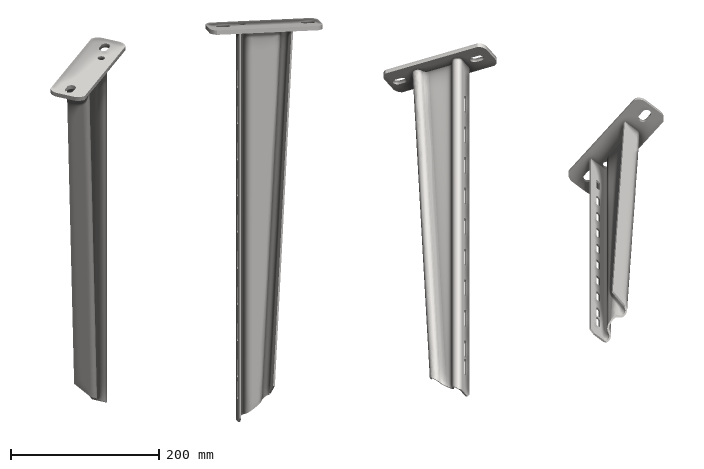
import cadquery as cq
import math

plate_width = 50.0
plate_length = 155.0
plate_thickness = 6.0
corner_run = 12.5
corner_drop = 7.5
bolt_slot_spacing = 117.0
bolt_slot_center_y = -2.0
bolt_slot_length = 19.5
bolt_slot_width = 12.0
small_hole_diameter = 10.0
small_hole_x = 7.0
small_hole_y = 29.0

overall_height = 546.0
sheet = 2.45
flange_tip_x = -15.5
post_outer_x = 14.0
rib_face_x = 0.5
rear_y = 37.0
front_top_y = -37.0
front_bottom_y = -9.5
bend_outer_radius = 7.0
bend_angle = math.radians(65)
slant_length = 3.5

slot_length = 27.0
slot_width = 6.0
slot_x = -3.0
evenly_spaced_slots = 9
first_slot_z = -72.5
ninth_slot_z = -472.5
extra_slot_z = -502.5

trim_rise = 34.5
trim_run = 46.5
rear_corner_chamfer = 6.5
front_tip_rise = 15.0

bend_inner_radius = bend_outer_radius - sheet
rib_depth = post_outer_x - sheet - rib_face_x
slant_dx = slant_length * math.sin(bend_angle)
slant_dy = slant_length * math.cos(bend_angle)
radius_sum = (rib_depth - slant_dx) / (1 - math.cos(bend_angle))
rib_outer_radius = radius_sum - bend_inner_radius
rib_inner_radius = rib_outer_radius - sheet
rib_start = bend_outer_radius + radius_sum * math.sin(bend_angle) + slant_dy
bend_x = post_outer_x - bend_outer_radius
rib_bend_x = rib_face_x + rib_outer_radius

post_top_z = -plate_thickness
post_height = overall_height - plate_thickness
front_shift = front_bottom_y - front_top_y


def arc_point(center, radius, angle, side):
    """Point on a bend; side is +1 for the rear edge and -1 for the mirrored front edge."""
    return center[0] + radius * math.cos(angle), center[1] + side * radius * math.sin(angle)


def make_channel_edge(flange_y, side, shift):
    """Flange, rounded edge and bend into the rib, running down the post and moving by shift in Y."""
    bend_center = (bend_x, flange_y - side * bend_outer_radius)
    rib_center = (rib_bend_x, flange_y - side * rib_start)
    flange_inner_y = flange_y - side * sheet
    bend_mid = (math.pi / 2 - bend_angle) / 2
    rib_mid = math.pi - bend_angle / 2
    bend_end = -bend_angle
    rib_end = math.pi - bend_angle
    profile = (
        cq.Workplane("XY", origin=(0, 0, post_top_z))
        .moveTo(flange_tip_x, flange_y)
        .lineTo(bend_x, flange_y)
        .threePointArc(
            arc_point(bend_center, bend_outer_radius, bend_mid, side),
            arc_point(bend_center, bend_outer_radius, bend_end, side),
        )
        .lineTo(*arc_point(rib_center, rib_inner_radius, rib_end, side))
        .threePointArc(
            arc_point(rib_center, rib_inner_radius, rib_mid, side),
            arc_point(rib_center, rib_inner_radius, math.pi, side),
        )
        .lineTo(*arc_point(rib_center, rib_outer_radius, math.pi, side))
        .threePointArc(
            arc_point(rib_center, rib_outer_radius, rib_mid, side),
            arc_point(rib_center, rib_outer_radius, rib_end, side),
        )
        .lineTo(*arc_point(bend_center, bend_inner_radius, bend_end, side))
        .threePointArc(
            arc_point(bend_center, bend_inner_radius, bend_mid, side),
            (bend_x, flange_inner_y),
        )
        .lineTo(flange_tip_x, flange_inner_y)
        .close()
    )
    direction = cq.Vector(0, shift, -post_height)
    return cq.Workplane(cq.Solid.extrudeLinear(profile.val(), [], direction))


def make_rib():
    """Flat strip between the two channel edges, narrowing downwards."""
    rear_rib_y = rear_y - rib_start
    front_rib_y = front_top_y + rib_start
    return (
        cq.Workplane("YZ", origin=(rib_face_x, 0, 0))
        .moveTo(rear_rib_y, post_top_z)
        .lineTo(front_rib_y, post_top_z)
        .lineTo(front_rib_y + front_shift, -overall_height)
        .lineTo(rear_rib_y, -overall_height)
        .close()
        .extrude(sheet)
    )


def make_plate():
    half_width = plate_width / 2
    half_length = plate_length / 2
    plate = cq.Workplane("XY").rect(plate_width, plate_length).extrude(-plate_thickness)
    corner_radius = (corner_run**2 + corner_drop**2) / (2 * corner_drop)
    flat_end = half_width - corner_run
    half_sweep = math.asin(corner_run / corner_radius) / 2
    for sx in (-1, 1):
        for sy in (-1, 1):
            arc_mid = (
                sx * (flat_end + corner_radius * math.sin(half_sweep)),
                sy * (half_length - corner_radius * (1 - math.cos(half_sweep))),
            )
            corner = (
                cq.Workplane("XY")
                .moveTo(sx * flat_end, sy * half_length)
                .threePointArc(arc_mid, (sx * half_width, sy * (half_length - corner_drop)))
                .lineTo(sx * half_width, sy * half_length)
                .close()
                .extrude(-plate_thickness)
            )
            plate = plate.cut(corner)
    bolt_slots = (
        cq.Workplane("XY")
        .center(0, bolt_slot_center_y)
        .pushPoints([(0, -bolt_slot_spacing / 2), (0, bolt_slot_spacing / 2)])
        .slot2D(bolt_slot_length, bolt_slot_width, 90)
        .extrude(-plate_thickness)
    )
    small_hole = (
        cq.Workplane("XY")
        .center(small_hole_x, small_hole_y)
        .circle(small_hole_diameter / 2)
        .extrude(-plate_thickness)
    )
    return plate.cut(bolt_slots).cut(small_hole)


def make_hanging_slots():
    pitch = (ninth_slot_z - first_slot_z) / (evenly_spaced_slots - 1)
    heights = [first_slot_z + i * pitch for i in range(evenly_spaced_slots)]
    heights.append(extra_slot_z)
    return (
        cq.Workplane("XZ", origin=(0, rear_y, 0))
        .pushPoints([(slot_x, z) for z in heights])
        .slot2D(slot_length, slot_width, 90)
        .extrude(sheet)
    )


def make_bottom_trim():
    """Wedge below the sloping bottom edge, spanning the post's full width."""
    start_y = rear_y - sheet
    end_y = start_y - 2 * trim_run
    return (
        cq.Workplane("YZ")
        .moveTo(start_y, -overall_height)
        .lineTo(end_y, -overall_height + 2 * trim_rise)
        .lineTo(end_y, -overall_height)
        .close()
        .extrude(plate_width, both=True)
    )


def make_rear_chamfer():
    return (
        cq.Workplane("XZ", origin=(0, rear_y, 0))
        .moveTo(flange_tip_x, -overall_height)
        .lineTo(flange_tip_x + rear_corner_chamfer, -overall_height)
        .lineTo(flange_tip_x, -overall_height + rear_corner_chamfer)
        .close()
        .extrude(2 * sheet)
    )


def make_front_trim():
    """Sloping cut that raises the free edge of the front flange."""
    low_z = -overall_height + trim_rise
    return (
        cq.Workplane("XZ", origin=(0, front_bottom_y + sheet, 0))
        .moveTo(bend_x, low_z)
        .lineTo(flange_tip_x, low_z + front_tip_rise)
        .lineTo(flange_tip_x, -overall_height)
        .lineTo(bend_x, -overall_height)
        .close()
        .extrude(trim_rise)
    )


def make_post():
    rear_edge = make_channel_edge(rear_y, 1, 0)
    front_edge = make_channel_edge(front_top_y, -1, front_shift)
    post = make_rib().union(rear_edge).union(front_edge)
    post = post.cut(make_hanging_slots())
    post = post.cut(make_bottom_trim())
    return post.cut(make_rear_chamfer()).cut(make_front_trim())


plate = make_plate()
post = make_post()

result = cq.Compound.makeCompound([plate.val(), post.val()])